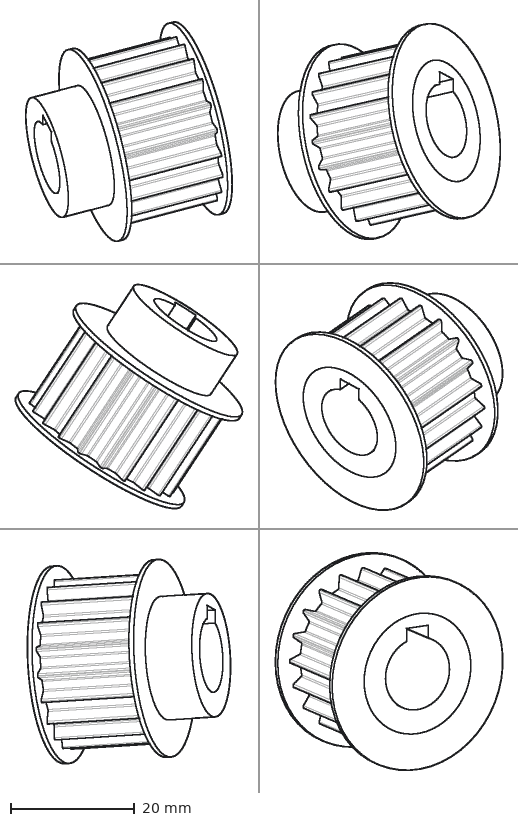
import cadquery as cq
import math

total_length = 26.0
hub_length = 7.9
hub_diameter = 20.0

flange_diameter = 32.0
flange_thickness = 0.8
front_flange_start = hub_length
rear_flange_start = total_length - flange_thickness

toothed_start = front_flange_start + flange_thickness
toothed_width = rear_flange_start - toothed_start
tooth_count = 20
tooth_pitch_angle = 360.0 / tooth_count
tip_radius = 13.8
root_radius = 11.78
groove_bottom_width = 1.75
groove_angle = 56.0
tooth_tip_fillet = 0.3
tooth_root_fillet = 0.3
edge_tolerance = 0.003

bore_diameter = 12.0
keyway_width = 4.0
keyway_top = 7.8


def cylinder_along_y(radius, start, length):
    """Solid cylinder about the Y axis, running from Y = start in +Y."""
    return cq.Workplane("XZ", origin=(0, start, 0)).circle(radius).extrude(-length)


def round_edges_at(section, radius, fillet_radius):
    """Round the Y-parallel edges that lie at the given distance from the Y axis."""

    def is_on_circle(edge):
        middle = edge.Center()
        return math.isclose(math.hypot(middle.x, middle.z), radius, abs_tol=edge_tolerance)

    edges = section.edges("|Y").filter(is_on_circle)
    return edges.fillet(fillet_radius)


def tooth_groove():
    """Cutter for the tooth gap on the +Z side: straight flanks, concave floor on the root circle."""
    flank_slope = math.tan(math.radians(groove_angle / 2))
    half_bottom = groove_bottom_width / 2
    corner_height = math.sqrt(root_radius**2 - half_bottom**2)
    half_top = half_bottom + (tip_radius - corner_height) * flank_slope
    return (
        cq.Workplane("XZ", origin=(0, toothed_start, 0))
        .moveTo(-half_bottom, corner_height)
        .threePointArc((0, root_radius), (half_bottom, corner_height))
        .lineTo(half_top, tip_radius)
        .lineTo(-half_top, tip_radius)
        .close()
        .extrude(-toothed_width)
    )


def toothed_section():
    """Ring of teeth, one of them centred on +Z, with rounded tips and roots."""
    section = cylinder_along_y(tip_radius, toothed_start, toothed_width)
    groove = tooth_groove()
    for index in range(tooth_count):
        angle = (index + 0.5) * tooth_pitch_angle
        section = section.cut(groove.rotate((0, 0, 0), (0, 1, 0), angle))

    section = round_edges_at(section, root_radius, tooth_root_fillet)
    return round_edges_at(section, tip_radius, tooth_tip_fillet)


def keyed_bore():
    """Cutter for the through bore with its rectangular keyway on the +Z side."""
    bore = cylinder_along_y(bore_diameter / 2, 0, total_length)
    keyway = cq.Workplane("XY").box(
        keyway_width, total_length, keyway_top, centered=(True, False, False)
    )
    return bore.union(keyway)


def make_pulley():
    """Hub, toothed section and rear shoulder in one piece."""
    core = cylinder_along_y(hub_diameter / 2, 0, total_length)
    return core.union(toothed_section()).cut(keyed_bore())


def make_flange(start):
    """Flat ring whose hole fits the cylindrical shoulder of the pulley."""
    disc = cylinder_along_y(flange_diameter / 2, start, flange_thickness)
    hole = cylinder_along_y(hub_diameter / 2, start, flange_thickness)
    return disc.cut(hole)


pulley = make_pulley()
flanges = [make_flange(start) for start in (front_flange_start, rear_flange_start)]

result = cq.Compound.makeCompound([pulley.val(), *[flange.val() for flange in flanges]])